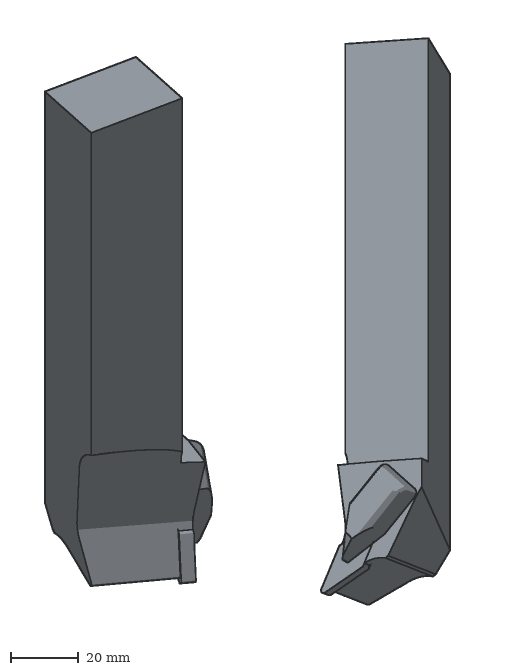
import cadquery as cq
import math

total_height = 171.4
overall_depth = 48.3
shank_width = 25.0
shank_depth = 32.0

head_depth = 42.0
head_width = 34.3
shoulder_height = 38.9
shoulder_angle = 14.0

rake_lean = 0.18
rake_axis = cq.Vector(rake_lean, 1, -rake_lean).normalized()
tail_direction = cq.Vector(-1, 2 * rake_lean, 1).normalized()
across = rake_axis.cross(tail_direction)
tip = cq.Vector(33.4, 31.5, -1.11)
sweep_reach = 257.0

insert_edge = 16.6
insert_half_angle = 17.5
insert_thickness = 4.8
insert_nose_radius = 0.9

seat_setback = 2.0
seat_nose_radius = 0.7
flank_end = 17.0
throat_end = (21.6, 7.5)
relief_top = (34.8, 23.0)
relief_runout = (36.2, 33.2)
heel = (22.3, -8.9)
heel_corner = (23.3, -9.0)
heel_slope = 0.26
outline_reach = 239.9

clamp_root = 0.5
clamp_lower_side = -4.1
clamp_upper_side = 10.8
clamp_tail = 43.4
clamp_tail_draft = 8.0
clamp_shoulder = 27.5
clamp_front = 13.7
clamp_front_height = 3.0
clamp_slope_start = 21.0
clamp_point = 11.0
clamp_side_draft = 20.0
clamp_corner_radius = 1.9
clamp_rim_radius = 4.3

tail_lean = math.tan(math.radians(clamp_tail_draft))
ridge_setback = clamp_rim_radius / math.cos(math.radians(clamp_tail_draft))
ridge_rise = overall_depth - clamp_rim_radius - tip.y - tail_direction.y * (clamp_tail - ridge_setback)
clamp_height = clamp_rim_radius + ridge_rise / (rake_axis.y - tail_direction.y * tail_lean)


def rake_plane(offset):
    """Work plane parallel to the rake face, raised from it along the rake axis."""
    origin = tip + rake_axis * offset
    return cq.Workplane(cq.Plane(origin, tail_direction, rake_axis))


def make_stock():
    """Shank with the deeper head block, bounded by the shoulder, the back and the rake plane."""
    shank = cq.Workplane().box(shank_width, shank_depth, total_height, centered=False)
    shoulder_drop = (head_depth - shank_depth) * math.tan(math.radians(shoulder_angle))
    shoulder_rise = shank_depth * math.tan(math.radians(shoulder_angle))
    head = (
        cq.Workplane("YZ")
        .polyline([
            (0, 0),
            (head_depth, 0),
            (head_depth, shoulder_height - shoulder_drop),
            (0, shoulder_height + shoulder_rise),
        ])
        .close()
        .extrude(head_width)
    )
    above_rake = rake_plane(0).rect(2 * outline_reach, 2 * outline_reach).extrude(head_depth)
    return shank.union(head.cut(above_rake))


def make_outline():
    """Prism along the rake axis: flanks, relief at the +X side and heel at the -X side."""
    flank_half_width = (flank_end - seat_setback) * math.tan(math.radians(insert_half_angle))
    heel_far = heel_corner[1] + heel_slope * (outline_reach - heel_corner[0])
    prism = (
        rake_plane(-sweep_reach)
        .moveTo(seat_setback, 0)
        .lineTo(flank_end, flank_half_width)
        .tangentArcPoint(throat_end, relative=False)
        .lineTo(*relief_top)
        .tangentArcPoint(relief_runout, relative=False)
        .lineTo(relief_runout[0], outline_reach)
        .lineTo(outline_reach, outline_reach)
        .lineTo(outline_reach, heel_far)
        .lineTo(*heel_corner)
        .lineTo(*heel)
        .threePointArc(heel_arc_middle(flank_half_width), (flank_end, -flank_half_width))
        .close()
        .extrude(2 * sweep_reach)
    )
    vertex = tip + tail_direction * seat_setback
    nose_edge = cq.selectors.NearestToPointSelector(vertex.toTuple())
    return prism.edges(nose_edge).fillet(seat_nose_radius)


def heel_arc_middle(flank_half_width):
    """Middle of the arc that leaves the lower flank tangentially and ends at the heel."""
    start = cq.Vector(flank_end, -flank_half_width)
    chord = cq.Vector(*heel) - start
    flank_direction = math.radians(-insert_half_angle)
    turn = math.atan2(chord.y, chord.x) - flank_direction
    sagitta = chord.Length / 2 * math.tan(turn / 2)
    side = cq.Vector(chord.y, -chord.x).normalized()
    middle = start + chord * 0.5 + side * sagitta
    return (middle.x, middle.y)


def make_clamp_plan():
    """Drafted plan of the clamp: parallel sides that close to a point toward the tip."""
    beyond_tail = 2 * clamp_tail
    return (
        rake_plane(-clamp_root)
        .polyline([
            (beyond_tail, clamp_lower_side),
            (beyond_tail, clamp_upper_side),
            (clamp_shoulder, clamp_upper_side),
            (clamp_point, 0),
            (clamp_shoulder, clamp_lower_side),
        ])
        .close()
        .extrude(clamp_root + clamp_height, taper=clamp_side_draft)
    )


def make_clamp_profile():
    """Side profile of the clamp: blunt front, top parallel to the rake plane, drafted tail."""
    return (
        cq.Workplane(cq.Plane(tip, tail_direction, across * -1))
        .polyline([
            (clamp_front, -clamp_root),
            (clamp_front, clamp_front_height),
            (clamp_slope_start, clamp_height),
            (clamp_tail - tail_lean * clamp_height, clamp_height),
            (clamp_tail + tail_lean * clamp_root, -clamp_root),
        ])
        .close()
        .extrude(outline_reach, both=True)
    )


def make_clamp():
    """Clamp whose rim is rounded along the sides and the tail, and then its two tail corners."""
    clamp = make_clamp_plan().intersect(make_clamp_profile())
    top_face = clamp.faces(cq.selectors.DirectionMinMaxSelector(rake_axis))
    rim = [
        edge for edge in top_face.edges().vals()
        if (edge.Center() - tip).dot(tail_direction) > clamp_shoulder
    ]
    clamp = clamp.newObject(rim).fillet(clamp_rim_radius)
    tail_face = clamp.faces(cq.selectors.DirectionMinMaxSelector(tail_direction))
    level_edges = cq.selectors.ParallelDirSelector(across)
    corners = tail_face.edges(cq.selectors.InverseSelector(level_edges))
    return corners.fillet(clamp_corner_radius)


def make_insert():
    """Rhombus insert, flush with the rake plane, with rounded corners."""
    length = 2 * insert_edge * math.cos(math.radians(insert_half_angle))
    half_width = insert_edge * math.sin(math.radians(insert_half_angle))
    return (
        rake_plane(-insert_thickness)
        .polyline([(0, 0), (length / 2, half_width), (length, 0), (length / 2, -half_width)])
        .close()
        .extrude(insert_thickness)
        .edges(cq.selectors.ParallelDirSelector(rake_axis))
        .fillet(insert_nose_radius)
    )


insert = make_insert()
holder = make_stock().intersect(make_outline()).union(make_clamp()).cut(insert)

result = cq.Compound.makeCompound([holder.val(), insert.val()])